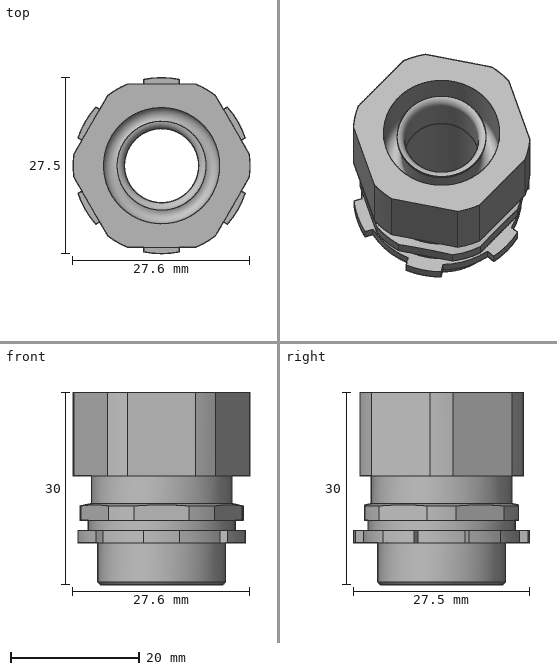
import cadquery as cq
import math

total_height = 30.0
lock_ring_bottom = 6.55
lock_ring_top = 8.5
body_hex_bottom = 10.05
body_hex_top = 12.7
cap_bottom = 17.0

spigot_radius = 10.0
spigot_chamfer = 0.48
flange_radius = 11.5
collar_radius = 10.98
cap_flats = 25.5
cap_corner_radius = 13.8
body_hex_flats = 24.0
body_hex_corner_radius = 12.75
body_hex_chamfer_width = body_hex_corner_radius - collar_radius
body_hex_chamfer_height = 0.4

tooth_count = 6
lock_ring_radius = 12.48
tooth_radius = 13.75
tooth_width = 5.58

cap_bore_radius = 9.05
sleeve_inner_radius = 5.75
sleeve_wall = 0.42
sleeve_outer_radius = sleeve_inner_radius + sleeve_wall
lip_radius = 6.93
lip_top = 28.7
lip_curve = lip_radius - sleeve_inner_radius
lip_back_curve = lip_curve - sleeve_wall
lip_center_z = lip_top - lip_curve
groove_center_z = 21.6
groove_curve = (cap_bore_radius - sleeve_outer_radius) / 2
groove_center_radius = sleeve_outer_radius + groove_curve
lower_bore_radius = 6.3


def cylinder(radius, bottom, top):
    """Upright cylinder on the Z axis."""
    return cq.Workplane("XY").workplane(offset=bottom).circle(radius).extrude(top - bottom)


def rounded_hex(flats, corner_radius, bottom, top):
    """Hexagonal prism with two flats facing +/-Y and its corners turned to a radius."""
    point_diameter = flats / math.cos(math.pi / 6)
    prism = cq.Workplane("XY").workplane(offset=bottom).polygon(6, point_diameter).extrude(top - bottom)
    return prism.intersect(cylinder(corner_radius, bottom, top))


def arc_point(center_radius, center_z, curve, degrees):
    """Point on an arc in the radius-Z half plane."""
    angle = math.radians(degrees)
    return (center_radius + curve * math.cos(angle), center_z + curve * math.sin(angle))


def body_hex():
    """Hexagon of the body, turned to a shallow cone on its upper side."""
    prism = rounded_hex(body_hex_flats, body_hex_corner_radius, body_hex_bottom, body_hex_top)
    cone = cylinder(body_hex_corner_radius, body_hex_bottom, body_hex_top)
    cone = cone.faces(">Z").edges().chamfer(body_hex_chamfer_height, body_hex_chamfer_width)
    return prism.intersect(cone)


def lock_ring():
    """Ring with parallel-sided teeth around its rim."""
    height = lock_ring_top - lock_ring_bottom
    ring = cylinder(lock_ring_radius, lock_ring_bottom, lock_ring_top)
    for tooth in range(tooth_count):
        bar = (
            cq.Workplane("XY")
            .workplane(offset=lock_ring_bottom)
            .center(0, tooth_radius / 2)
            .rect(tooth_width, tooth_radius)
            .extrude(height)
        )
        ring = ring.union(bar.rotate((0, 0, 0), (0, 0, 1), tooth * 360 / tooth_count))
    return ring.intersect(cylinder(tooth_radius, lock_ring_bottom, lock_ring_top))


def bore():
    """Space left by the bore, the flared sleeve and the round-bottomed groove."""
    under_curve = groove_curve + sleeve_wall
    under_end = math.degrees(math.acos((lower_bore_radius - groove_center_radius) / under_curve))
    under_middle = (180 + under_end) / 2
    lower_bore_top = arc_point(groove_center_radius, groove_center_z, under_curve, -under_end)
    profile = (
        cq.Workplane("XZ")
        .moveTo(0, 0)
        .lineTo(lower_bore_radius, 0)
        .lineTo(*lower_bore_top)
        .threePointArc(
            arc_point(groove_center_radius, groove_center_z, under_curve, -under_middle),
            (sleeve_inner_radius, groove_center_z),
        )
        .lineTo(sleeve_inner_radius, lip_center_z)
        .threePointArc(arc_point(lip_radius, lip_center_z, lip_curve, 135), (lip_radius, lip_top))
        .lineTo(lip_radius, lip_top - sleeve_wall)
        .threePointArc(
            arc_point(lip_radius, lip_center_z, lip_back_curve, 135),
            (sleeve_outer_radius, lip_center_z),
        )
        .lineTo(sleeve_outer_radius, groove_center_z)
        .threePointArc(
            (groove_center_radius, groove_center_z - groove_curve),
            (cap_bore_radius, groove_center_z),
        )
        .lineTo(cap_bore_radius, total_height)
        .lineTo(0, total_height)
        .close()
    )
    return profile.revolve(360, (0, 0, 0), (0, 1, 0))


spigot = cylinder(spigot_radius, 0, lock_ring_bottom).faces("<Z").chamfer(spigot_chamfer)
flange = cylinder(flange_radius, lock_ring_top, body_hex_bottom)
collar = cylinder(collar_radius, body_hex_top, cap_bottom)
cap = rounded_hex(cap_flats, cap_corner_radius, cap_bottom, total_height)

outside = spigot.union(lock_ring()).union(flange).union(body_hex()).union(collar).union(cap)
result = outside.cut(bore())